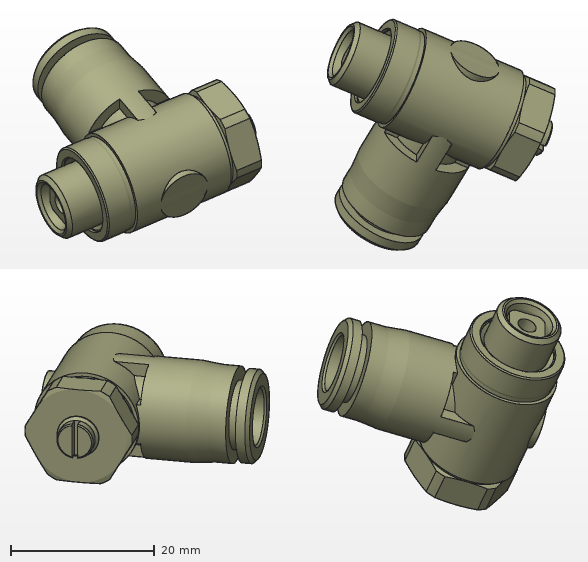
import cadquery as cq


barrel_radius = 7.5
barrel_half_length = 7.65
side_boss_radius = 3.83
side_boss_end_x = 7.45

socket_mouth_x = -23.07
collet_flange_radius = 6.65
collet_chamfer = 0.55
collet_flange_length = 1.9
collet_flange_end_x = socket_mouth_x + collet_flange_length
collet_neck_radius = 4.92
collet_neck_length = 1.36
collet_neck_end_x = collet_flange_end_x + collet_neck_length
sleeve_radius = 6.87
flare_start_x = -17.31
flare_end_x = -14.31
socket_radius = 7.2
socket_shoulder_x = -barrel_radius
tube_bore_radius = 4.05
tube_bore_chamfer = 0.3
tube_stop_x = -9.0
passage_radius = 3.03

rib_core_radius = 5.4
upright_rib_width = 3.04
level_rib_height = 5.9

shank_radius = 4.78
gallery_radius = 4.3
gallery_half_length = 4.5
hex_sides = 6
hex_across_flats = 14.0
hex_corner_radius = 7.69
hex_turn = 180 / hex_sides
hex_face_radius = hex_across_flats / 2
hex_chamfer_height = 0.2
hex_bottom_y = 8.25
hex_top_y = 12.69
collar_radius = 7.0
lip_base_radius = 3.0
lip_base_height = 0.17
lip_cone_height = 0.48
flange_radius = 7.08
flange_top_y = -8.2
flange_bottom_y = -12.19
flange_top_chamfer_height = 0.27
flange_bottom_chamfer = 0.2
seal_groove_radius = 5.65
seal_groove_depth = 0.4
seal_cone_radius = 5.45
seal_cone_depth = 0.45
thread_end_y = -17.22
thread_chamfer = 0.6
recess_rim_radius = 3.9
recess_countersink_radius = 3.47
recess_countersink_depth = recess_rim_radius - recess_countersink_radius
pocket_radius = 3.23
nose_setback = 1.42
nose_end_y = thread_end_y + nose_setback
nose_width = 5.3
nose_length = 3.0
orifice_radius = 1.34
orifice_length = 4.0
needle_bore_floor_y = nose_end_y + orifice_length
cross_hole_radius = 1.28
cross_hole_y = -2.03

head_radius = 2.6
head_top_y = 14.78
head_chamfer = 0.2
slot_width = 0.8
slot_depth = 1.42
stem_radius = 2.0
stem_top_y = 4.0
tip_base_clearance = 1.0
tip_base_y = needle_bore_floor_y + tip_base_clearance


def revolve_about_x(points):
    """Turn (x, radius) points, closed along the axis, about the X axis."""
    return cq.Workplane("XY").polyline(points).close().revolve(360, (0, 0, 0), (1, 0, 0))


def revolve_about_y(points):
    """Turn (radius, y) points, closed along the axis, about the Y axis."""
    return cq.Workplane("XY").polyline(points).close().revolve(360, (0, 0, 0), (0, 1, 0))


def cylinder_x(radius, start_x, end_x):
    return cq.Workplane("YZ", origin=(start_x, 0, 0)).circle(radius).extrude(end_x - start_x)


def cylinder_y(radius, start_y, end_y):
    return revolve_about_y([(0, start_y), (radius, start_y), (radius, end_y), (0, end_y)])


def make_socket():
    return revolve_about_x([
        (socket_mouth_x, 0),
        (socket_mouth_x, collet_flange_radius - collet_chamfer),
        (socket_mouth_x + collet_chamfer, collet_flange_radius),
        (collet_flange_end_x, collet_flange_radius),
        (collet_flange_end_x, collet_neck_radius),
        (collet_neck_end_x, collet_neck_radius),
        (collet_neck_end_x, sleeve_radius),
        (flare_start_x, sleeve_radius),
        (flare_end_x, socket_radius),
        (socket_shoulder_x, socket_radius),
        (socket_shoulder_x, 0),
    ])


def make_ribs():
    """Round core with two upright and two level ribs, running from the socket into the barrel."""
    length = -socket_shoulder_x
    core = cylinder_x(rib_core_radius, socket_shoulder_x, 0)
    envelope = cylinder_x(socket_radius, socket_shoulder_x, 0)
    section = cq.Workplane("YZ", origin=(socket_shoulder_x, 0, 0))
    upright = section.rect(upright_rib_width, 2 * socket_radius).extrude(length)
    level = section.rect(2 * socket_radius, level_rib_height).extrude(length)
    return core.union(envelope.intersect(upright.union(level)))


def make_tube_bore():
    return revolve_about_x([
        (socket_mouth_x, 0),
        (socket_mouth_x, tube_bore_radius + tube_bore_chamfer),
        (socket_mouth_x + tube_bore_chamfer, tube_bore_radius),
        (tube_stop_x, tube_bore_radius),
        (tube_stop_x, passage_radius),
        (0, passage_radius),
        (0, 0),
    ])


def make_elbow():
    barrel = cylinder_y(barrel_radius, -barrel_half_length, barrel_half_length)
    side_boss = cylinder_x(side_boss_radius, 0, side_boss_end_x)
    bolt_hole = cylinder_y(shank_radius, -barrel_half_length, barrel_half_length)
    body = barrel.union(make_ribs()).union(make_socket()).union(side_boss)
    return body.cut(bolt_hole).cut(make_tube_bore())


def make_hex():
    """Hexagon with two level flats and turned, chamfered corners."""
    height = hex_top_y - hex_bottom_y
    prism = (
        cq.Workplane("XZ", origin=(0, hex_top_y, 0))
        .transformed(rotate=(0, 0, hex_turn))
        .polygon(hex_sides, hex_across_flats, circumscribed=True)
        .extrude(height)
    )
    turned_blank = revolve_about_y([
        (0, hex_bottom_y),
        (hex_face_radius, hex_bottom_y),
        (hex_corner_radius, hex_bottom_y + hex_chamfer_height),
        (hex_corner_radius, hex_top_y - hex_chamfer_height),
        (hex_face_radius, hex_top_y),
        (0, hex_top_y),
    ])
    return prism.intersect(turned_blank)


def make_bolt_blank():
    """Turned outline of the bolt without its hexagon."""
    lip_base_y = hex_top_y + lip_base_height
    groove_bottom_y = flange_bottom_y + seal_groove_depth
    return revolve_about_y([
        (0, thread_end_y),
        (shank_radius - thread_chamfer, thread_end_y),
        (shank_radius, thread_end_y + thread_chamfer),
        (shank_radius, groove_bottom_y + seal_cone_depth),
        (seal_cone_radius, groove_bottom_y),
        (seal_groove_radius, groove_bottom_y),
        (seal_groove_radius, flange_bottom_y),
        (flange_radius - flange_bottom_chamfer, flange_bottom_y),
        (flange_radius, flange_bottom_y + flange_bottom_chamfer),
        (flange_radius, flange_top_y - flange_top_chamfer_height),
        (collar_radius, flange_top_y),
        (collar_radius, -barrel_half_length),
        (shank_radius, -barrel_half_length),
        (shank_radius, -gallery_half_length),
        (gallery_radius, -gallery_half_length),
        (gallery_radius, gallery_half_length),
        (shank_radius, gallery_half_length),
        (shank_radius, barrel_half_length),
        (collar_radius, barrel_half_length),
        (collar_radius, hex_bottom_y),
        (lip_base_radius, hex_bottom_y),
        (lip_base_radius, lip_base_y),
        (head_radius, lip_base_y + lip_cone_height),
        (0, lip_base_y + lip_cone_height),
    ])


def make_thread_end_recess():
    """Tapered recess in the threaded end, leaving a square nose with rounded corners standing inside."""
    recess = revolve_about_y([
        (0, thread_end_y),
        (recess_rim_radius, thread_end_y),
        (recess_countersink_radius, thread_end_y + recess_countersink_depth),
        (pocket_radius, nose_end_y),
        (pocket_radius, nose_end_y + nose_length),
        (0, nose_end_y + nose_length),
    ])
    nose = (
        cq.Workplane("XZ", origin=(0, nose_end_y + nose_length, 0))
        .rect(nose_width, nose_width)
        .extrude(nose_length)
    )
    return recess.cut(nose)


def make_bolt():
    needle_bore = cylinder_y(head_radius, needle_bore_floor_y, head_top_y)
    orifice = cylinder_y(orifice_radius, thread_end_y, needle_bore_floor_y)
    cross_hole = cylinder_x(cross_hole_radius, -shank_radius, shank_radius).translate((0, cross_hole_y, 0))
    bolt = make_bolt_blank().union(make_hex())
    return bolt.cut(make_thread_end_recess()).cut(needle_bore).cut(orifice).cut(cross_hole)


def make_needle():
    """Slotted screw with a slim stem and a conical tip that reaches into the orifice."""
    needle = revolve_about_y([
        (0, tip_base_y - stem_radius),
        (stem_radius, tip_base_y),
        (stem_radius, stem_top_y),
        (head_radius, stem_top_y),
        (head_radius, head_top_y - head_chamfer),
        (head_radius - head_chamfer, head_top_y),
        (0, head_top_y),
    ])
    slot = cq.Workplane("XY").box(slot_width, 2 * slot_depth, 2 * head_radius)
    return needle.cut(slot.translate((0, head_top_y, 0)))


elbow = make_elbow()
bolt = make_bolt()
needle = make_needle()

result = cq.Compound.makeCompound([elbow.solids().val(), bolt.solids().val(), needle.solids().val()])